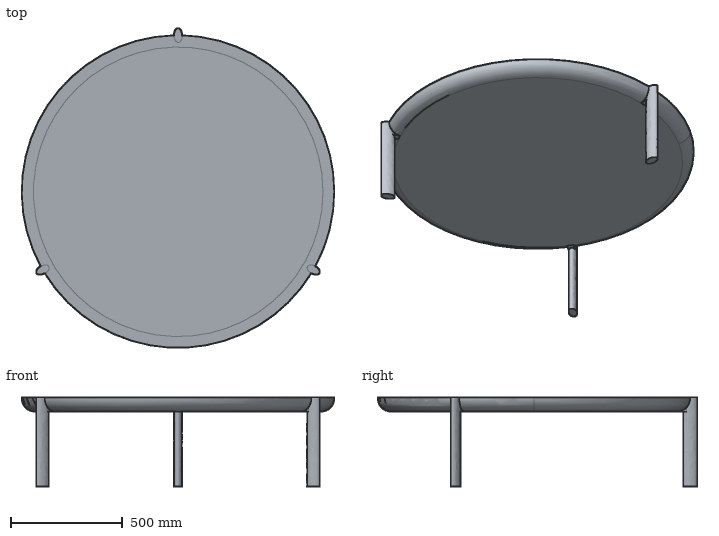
import math

import cadquery as cq

table_height = 400.0
top_radius = 700.0
top_thickness = 64.0

panel_diameter = 1296.0
panel_radius = panel_diameter / 2

rim_width = top_radius - panel_radius
rim_band = 4.0
rounding_depth = top_thickness - rim_band

leg_count = 3
leg_length = 63.0
leg_width = 37.0
first_leg_angle = 90.0
full_turn = 360.0

bracket_width = 30.0
bracket_height = 18.0
bracket_length = rim_width

bottom_level = table_height - top_thickness


def make_panel():
    """Round centre panel, as thick as the whole top."""
    return cq.Workplane("XY").workplane(offset=bottom_level).circle(panel_radius).extrude(top_thickness)


def make_rim():
    """Ring around the panel; its underside arc leaves the vertical band tangentially."""
    arc_start_level = table_height - rim_band
    arc_radius = (rim_width**2 + rounding_depth**2) / (2 * rim_width)
    arc_center = top_radius - arc_radius
    middle_angle = math.atan2(rounding_depth, panel_radius - arc_center) / 2
    arc_middle = (
        arc_center + arc_radius * math.cos(middle_angle),
        arc_start_level - arc_radius * math.sin(middle_angle),
    )
    return (
        cq.Workplane("XZ")
        .moveTo(panel_radius, table_height)
        .lineTo(top_radius, table_height)
        .lineTo(top_radius, arc_start_level)
        .threePointArc(arc_middle, (panel_radius, bottom_level))
        .close()
        .revolve(full_turn, (0, 0, 0), (0, 1, 0))
    )


def make_leg():
    """Elliptical post with its bracket, placed on the +X axis."""
    post = cq.Workplane("XY").center(top_radius, 0).ellipse(leg_length / 2, leg_width / 2).extrude(table_height)
    bracket = (
        cq.Workplane("XY")
        .box(bracket_length, bracket_width, bracket_height, centered=(False, True, False))
        .translate((top_radius - bracket_length, 0, bottom_level))
    )
    return post.union(bracket)


result = make_panel().union(make_rim(), clean=False)
leg = make_leg()
for index in range(leg_count):
    leg_angle = first_leg_angle + index * full_turn / leg_count
    placed_leg = leg.rotate((0, 0, 0), (0, 0, 1), leg_angle)
    result = result.cut(placed_leg, clean=False).union(placed_leg, clean=False)